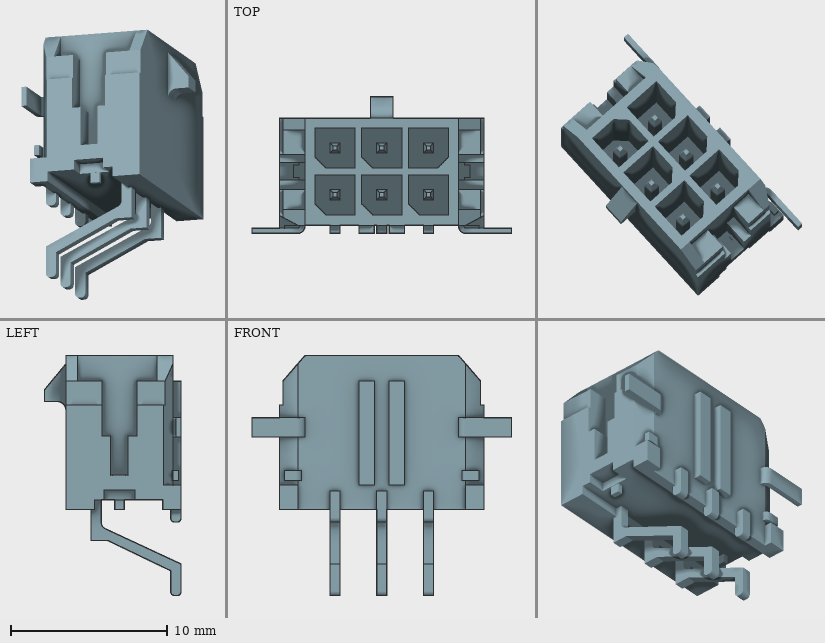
import cadquery as cq


overall_width = 16.65
overall_depth = 8.77
housing_height = 9.89
tail_drop = 5.51

front_y = 0.52
back_y = 7.4
half_width = 6.56
shoulder_half_width = 6.35
ledge_z = 6.71
shoulder_z = 8.25
top_half_width = 4.91
corner_half_width = 5.36
bevel_depth = 0.63
foot_height = 1.58

web_front_y = 1.55
web_back_y = 6.65
wide_slot_y = (2.83, 5.06)
wide_slot_floor = 4.71
narrow_slot_y = (3.41, 4.55)
narrow_slot_floor = 2.21

channel_y = (1.2, 5.56)
channel_height = 0.63
recess_y = (2.96, 4.95)
recess_top = 1.27
recess_inner_x = 5.3

notch_floor = 1.88
notch_key_outer_x = 5.66
notch_key_y = (3.58, 4.4)

pitch = 3.0
columns = (-1, 0, 1)
lower_row_y = 2.48
upper_row_y = lower_row_y + pitch
cavity_size = 2.56
cavity_key = 0.7
cavity_floor = 2.21
pin_size = 0.65
pin_top = 6.66
pin_point_size = 0.27
pin_point_height = 0.92

rib_inner_x = 0.47
rib_width = 1.0

latch_width = 1.45
latch_top_z = 9.34
latch_tip_top_z = 7.68
latch_tip_bottom_z = 6.93
latch_fillet = 0.55

tail_depth = 0.68
tail_tip_radius = 0.27
short_tail_z = (-0.8, 1.2)
tail_back_y = 5.8
knee_z = -1.98
knee_front_y = 4.71
inner_knee_y = tail_back_y - tail_depth
inner_knee_z = -1.1
inner_knee_radius = 0.42
lower_bend_back_z = -3.91
lower_bend_front_z = -3.48

clip_thickness = 0.35
clip_z = (4.65, 5.9)
clip_inner_x = 4.91
clip_inner_radius = 0.13
clip_outer_radius = clip_inner_radius + clip_thickness
tab_z = (1.86, 2.51)
tab_inner_x = 5.13
tab_outer_x = 6.23
peg_y = (3.65, 4.26)
embed = 0.5


def box(x, y, z):
    """Box spanning the given (low, high) pairs."""
    return cq.Workplane("XY").box(
        x[1] - x[0], y[1] - y[0], z[1] - z[0], centered=False
    ).translate((x[0], y[0], z[0]))


def both_sides(left):
    """Left-hand piece together with its mirror image."""
    return left.union(left.mirror("YZ"))


def housing_shell():
    front_outline = (
        cq.Workplane("XZ")
        .moveTo(-half_width, 0)
        .lineTo(-half_width, ledge_z)
        .lineTo(-shoulder_half_width, ledge_z)
        .lineTo(-shoulder_half_width, shoulder_z)
        .lineTo(-top_half_width, housing_height)
        .lineTo(top_half_width, housing_height)
        .lineTo(shoulder_half_width, shoulder_z)
        .lineTo(shoulder_half_width, ledge_z)
        .lineTo(half_width, ledge_z)
        .lineTo(half_width, 0)
        .close()
        .extrude(-(back_y - front_y))
        .translate((0, front_y, 0))
    )
    plan = (
        cq.Workplane("XY")
        .moveTo(-corner_half_width, front_y)
        .lineTo(corner_half_width, front_y)
        .lineTo(half_width, front_y + bevel_depth)
        .lineTo(half_width, back_y)
        .lineTo(-half_width, back_y)
        .lineTo(-half_width, front_y + bevel_depth)
        .close()
        .extrude(housing_height)
    )
    foot = box((-half_width, -corner_half_width), (0, front_y + bevel_depth), (0, foot_height))
    return front_outline.intersect(plan).union(both_sides(foot))


def side_slots():
    side = (-half_width, -top_half_width)
    slots = box(side, (web_front_y, web_back_y), (shoulder_z, housing_height))
    slots = slots.union(box(side, wide_slot_y, (wide_slot_floor, housing_height)))
    slots = slots.union(box(side, narrow_slot_y, (narrow_slot_floor, housing_height)))
    notch_z = (notch_floor, narrow_slot_floor)
    slots = slots.union(box((-recess_inner_x, -top_half_width), narrow_slot_y, notch_z))
    slots = slots.union(box((-notch_key_outer_x, -recess_inner_x), notch_key_y, notch_z))
    return both_sides(slots)


def underside_channel():
    channel = box((-half_width, half_width), channel_y, (0, channel_height))
    recess = box((-half_width, -recess_inner_x), recess_y, (0, recess_top))
    return channel.union(both_sides(recess))


def cavity(x, y, key_side):
    """Square cavity with one front corner cut off, on the left (-1) or right (1)."""
    half = cavity_size / 2
    return (
        cq.Workplane("XY", origin=(x, y, cavity_floor))
        .moveTo(-key_side * half, -half)
        .lineTo(key_side * (half - cavity_key), -half)
        .lineTo(key_side * half, -half + cavity_key)
        .lineTo(key_side * half, half)
        .lineTo(-key_side * half, half)
        .close()
        .extrude(housing_height - cavity_floor)
    )


def contact_pin(x, y):
    base = cavity_floor - embed
    shaft = (
        cq.Workplane("XY", origin=(x, y, base))
        .rect(pin_size, pin_size)
        .extrude(pin_top - pin_point_height - base)
    )
    return (
        shaft.faces(">Z").workplane()
        .rect(pin_size, pin_size)
        .workplane(offset=pin_point_height)
        .rect(pin_point_size, pin_point_size)
        .loft()
    )


def short_tail(x):
    tail = box((x - pin_size / 2, x + pin_size / 2), (0, tail_depth), short_tail_z)
    return tail.faces("<Z").edges("|X").fillet(tail_tip_radius)


def long_tail(x):
    tail = (
        cq.Workplane("YZ", origin=(x - pin_size / 2, 0, 0))
        .moveTo(tail_back_y, channel_height + embed)
        .lineTo(tail_back_y, knee_z)
        .lineTo(knee_front_y, knee_z)
        .lineTo(tail_depth, lower_bend_back_z)
        .lineTo(tail_depth, -tail_drop)
        .lineTo(0, -tail_drop)
        .lineTo(0, lower_bend_front_z)
        .lineTo(inner_knee_y, inner_knee_z)
        .lineTo(inner_knee_y, channel_height + embed)
        .close()
        .extrude(pin_size)
    )
    tail = tail.faces("<Z").edges("|X").fillet(tail_tip_radius)
    inner_knee = cq.selectors.NearestToPointSelector((x, inner_knee_y, inner_knee_z))
    return tail.edges("|X").edges(inner_knee).fillet(inner_knee_radius)


def latch():
    return (
        cq.Workplane("YZ", origin=(-latch_width / 2, 0, 0))
        .moveTo(back_y - embed, latch_top_z)
        .lineTo(back_y, latch_top_z)
        .lineTo(overall_depth, latch_tip_top_z)
        .lineTo(overall_depth, latch_tip_bottom_z)
        .lineTo(back_y + latch_fillet, latch_tip_bottom_z)
        .radiusArc((back_y, latch_tip_bottom_z - latch_fillet), -latch_fillet)
        .lineTo(back_y - embed, latch_tip_bottom_z - latch_fillet)
        .close()
        .extrude(latch_width)
    )


def board_clip():
    """Left-hand solder clip: a strip that bends out of the housing and runs outwards."""
    leg_outer_x = clip_inner_x + clip_thickness
    strip = (
        cq.Workplane("XY", origin=(0, 0, clip_z[0]))
        .moveTo(-overall_width / 2, 0)
        .lineTo(-clip_inner_x, 0)
        .lineTo(-clip_inner_x, front_y + embed)
        .lineTo(-leg_outer_x, front_y + embed)
        .lineTo(-leg_outer_x, clip_thickness)
        .lineTo(-overall_width / 2, clip_thickness)
        .close()
        .extrude(clip_z[1] - clip_z[0])
    )
    strip = strip.edges("|Z").edges(
        cq.selectors.NearestToPointSelector((-clip_inner_x, 0, clip_z[0]))
    ).fillet(clip_outer_radius)
    return strip.edges("|Z").edges(
        cq.selectors.NearestToPointSelector((-leg_outer_x, clip_thickness, clip_z[0]))
    ).fillet(clip_inner_radius)


def lower_tab():
    """Left-hand small tab lying against the housing front, rounded at its inner end."""
    tab_front_y = front_y - clip_thickness
    tab = box((-tab_outer_x, -tab_inner_x), (tab_front_y, front_y), tab_z)
    leg = box((-tab_inner_x - clip_thickness, -tab_inner_x), (tab_front_y, front_y + embed), tab_z)
    return tab.union(leg).faces("<Y").edges("|Z and >X").fillet(clip_thickness)


def lower_peg():
    """Left-hand peg reaching through the channel down to the housing's lower edge."""
    x = (-clip_inner_x - clip_thickness, -clip_inner_x)
    return box(x, peg_y, (0, channel_height + embed))


result = housing_shell().cut(side_slots())
result = result.cut(underside_channel())

for column in columns:
    x = column * pitch
    result = result.cut(cavity(x, lower_row_y, -1))
    result = result.cut(cavity(x, upper_row_y, 1 if column == columns[-1] else -1))

for column in columns:
    x = column * pitch
    for row_y in (lower_row_y, upper_row_y):
        result = result.union(contact_pin(x, row_y))
    result = result.union(short_tail(x)).union(long_tail(x))

rib = box((-rib_inner_x - rib_width, -rib_inner_x), (0, front_y), (foot_height, shoulder_z))
result = result.union(both_sides(rib))
result = result.union(latch())
result = result.union(both_sides(board_clip()))
result = result.union(both_sides(lower_tab()))
result = result.union(both_sides(lower_peg()))